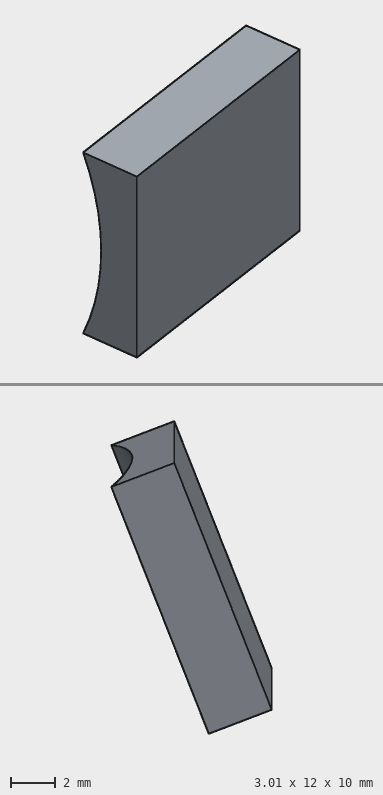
import cadquery as cq

length = 12.0
height = 10.0
edge_thickness = 3.01
web_thickness = 2.0

half_height = height / 2
back_x = edge_thickness / 2
front_x = -edge_thickness / 2
hollow_x = back_x - web_thickness

result = (
    cq.Workplane("XZ")
    .moveTo(front_x, -half_height)
    .lineTo(back_x, -half_height)
    .lineTo(back_x, half_height)
    .lineTo(front_x, half_height)
    .threePointArc((hollow_x, 0), (front_x, -half_height))
    .close()
    .extrude(length / 2, both=True)
)